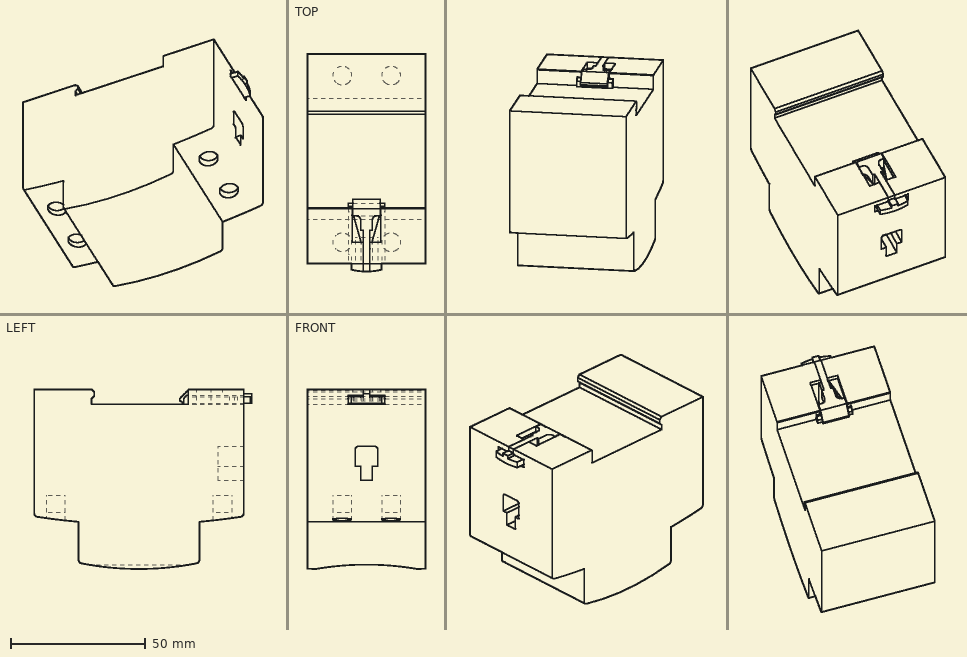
import cadquery as cq
import math

WIDTH = 44.0
HEIGHT = 66.8
BODY_LENGTH = 78.0
TOTAL_LENGTH = 81.0
BACK_Y = BODY_LENGTH / 2
FRONT_Y = -BODY_LENGTH / 2

NOSE_LENGTH = 45.0
NOSE_CROWN_RADIUS = 110.0
SHOULDER_CROWN_RADIUS = 250.0
SHOULDER_CROWN_LOW_Z = 16.5
EDGE_RADIUS = 1.45
NOSE_HOLLOW_DEPTH = 1.6
NOSE_HOLLOW_RADIUS = 110.0

RAIL_DEPTH = 5.5
RAIL_BACK_Y = 17.6
RAIL_FRONT_Y = -18.3
RAIL_FRONT_CHAMFER = 0.25
BEAD_REACH = 1.0
BEAD_HEIGHT = 3.5
RAIL_FLOOR_Z = HEIGHT - RAIL_DEPTH

OPENING_DEPTH = 9.7
OPENING_WIDTH = 8.3
OPENING_STEM_WIDTH = 4.4
OPENING_TOP_Z = 45.6
OPENING_SHOULDER_Z = 38.15
OPENING_BOTTOM_Z = 33.0
OPENING_CORNER_RADIUS = 1.0

SCREW_DIAMETER = 7.0
SCREW_SPACING_X = 18.15
SCREW_SPACING_Y = 62.0
SCREW_LENGTH = 6.5
SCREW_HEAD_Z = 21.1

LATCH_CLEARANCE = 0.25
SLOT_ROOF_DEPTH = 2.3
PLATE_TOP_DEPTH = 2.8
LATCH_BOTTOM_DEPTH = 5.2
GRIP_STEM_DEPTH = 1.6
SLOT_WIDTH = 13.7
EAR_WIDTH = 13.5
EAR_Y = -16.6
EAR_CHAMFER = 1.1
EAR_RADIUS = 2.3
HEAD_WIDTH = 10.1
HEAD_FRONT_Y = -21.2
HOOK_TIP_Y = -15.15
HOOK_TIP_DEPTH = 3.4
HOOK_LAND = 0.8
NECK_WIDTH = 4.3
NECK_RADIUS = 1.8
NECK_FRONT_Y = -26.65
STEM_WIDTH = 2.6
POCKET_FRONT_Y = -31.0
WINDOW_REAR_WIDTH = 9.6
WINDOW_FRONT_Y = -33.6
GRIP_WIDTH = 11.25
GRIP_ROOT_Y = -36.5
GRIP_SIDE_Y = -41.3
TIP_Y = BACK_Y - TOTAL_LENGTH


def crown_z(y, radius, low_z):
    """Height at y of an arc that is lowest, at low_z, on Y = 0."""
    return low_z + radius - math.sqrt(radius**2 - y**2)


def nose_z(y):
    return crown_z(y, NOSE_CROWN_RADIUS, 0)


def shoulder_z(y):
    return crown_z(y, SHOULDER_CROWN_RADIUS, SHOULDER_CROWN_LOW_Z)


def box_between(x_size, y_min, y_max, z_min, z_max):
    """Box centred on X = 0 between the given Y and Z limits."""
    box = cq.Workplane("XY").box(x_size, y_max - y_min, z_max - z_min, centered=(True, False, False))
    return box.translate((0, y_min, z_min))


def side_profile_block():
    """Housing outline with shoulders, crowned nose, rail channel and bead, run across the width."""
    nose_y = NOSE_LENGTH / 2
    shoulder_mid_y = (BACK_Y + nose_y) / 2
    bead_y = RAIL_BACK_Y - BEAD_REACH
    block = (
        cq.Workplane("YZ")
        .moveTo(FRONT_Y, HEIGHT)
        .lineTo(FRONT_Y, shoulder_z(FRONT_Y))
        .threePointArc((-shoulder_mid_y, shoulder_z(shoulder_mid_y)), (-nose_y, shoulder_z(nose_y)))
        .lineTo(-nose_y, nose_z(nose_y))
        .threePointArc((0, 0), (nose_y, nose_z(nose_y)))
        .lineTo(nose_y, shoulder_z(nose_y))
        .threePointArc((shoulder_mid_y, shoulder_z(shoulder_mid_y)), (BACK_Y, shoulder_z(BACK_Y)))
        .lineTo(BACK_Y, HEIGHT)
        .lineTo(RAIL_BACK_Y, HEIGHT)
        .lineTo(bead_y, HEIGHT - BEAD_REACH)
        .lineTo(bead_y, HEIGHT - BEAD_HEIGHT + BEAD_REACH)
        .lineTo(RAIL_BACK_Y, HEIGHT - BEAD_HEIGHT)
        .lineTo(RAIL_BACK_Y, RAIL_FLOOR_Z)
        .lineTo(RAIL_FRONT_Y, RAIL_FLOOR_Z)
        .lineTo(RAIL_FRONT_Y, HEIGHT - RAIL_FRONT_CHAMFER)
        .lineTo(RAIL_FRONT_Y - RAIL_FRONT_CHAMFER, HEIGHT)
        .close()
        .extrude(WIDTH / 2, both=True)
    )
    for y, z in ((BACK_Y, shoulder_z(BACK_Y)), (nose_y, nose_z(nose_y))):
        for corner_y in (-y, y):
            block = block.edges(cq.selectors.NearestToPointSelector((0, corner_y, z))).fillet(EDGE_RADIUS)
    return block


def nose_hollow():
    """Shallow cylinder along Y that hollows the underside of the nose."""
    return (
        cq.Workplane("XZ", origin=(0, 0, NOSE_HOLLOW_DEPTH - NOSE_HOLLOW_RADIUS))
        .circle(NOSE_HOLLOW_RADIUS)
        .extrude(NOSE_LENGTH, both=True)
    )


def wire_opening():
    inner_y = FRONT_Y + OPENING_DEPTH
    upper = box_between(OPENING_WIDTH, FRONT_Y, inner_y, OPENING_SHOULDER_Z, OPENING_TOP_Z)
    upper = upper.edges("|Y and >Z").fillet(OPENING_CORNER_RADIUS)
    stem = box_between(OPENING_STEM_WIDTH, FRONT_Y, inner_y, OPENING_BOTTOM_Z, OPENING_SHOULDER_Z)
    return upper.union(stem)


def latch_cavity():
    """Wide slot under the top, open pocket above its rear part, and a slit for the stem."""
    roof_z = HEIGHT - SLOT_ROOF_DEPTH
    slot = box_between(SLOT_WIDTH, FRONT_Y, RAIL_FRONT_Y, RAIL_FLOOR_Z, roof_z)
    pocket_width = HEAD_WIDTH + 2 * LATCH_CLEARANCE
    pocket = box_between(pocket_width, POCKET_FRONT_Y, RAIL_FRONT_Y, roof_z, HEIGHT)
    slit = box_between(STEM_WIDTH, FRONT_Y, POCKET_FRONT_Y, roof_z, HEIGHT)
    return slot.union(pocket).union(slit)


def screw_cylinder(z_min, z_max):
    return cq.Workplane("XY").workplane(offset=z_min).circle(SCREW_DIAMETER / 2).extrude(z_max - z_min)


def screw_places():
    return [
        (x, y, 0)
        for x in (-SCREW_SPACING_X / 2, SCREW_SPACING_X / 2)
        for y in (-SCREW_SPACING_Y / 2, SCREW_SPACING_Y / 2)
    ]


def make_housing():
    housing = side_profile_block().cut(nose_hollow()).cut(wire_opening()).cut(latch_cavity())
    screw_hole = screw_cylinder(SHOULDER_CROWN_LOW_Z, SCREW_HEAD_Z + SCREW_LENGTH)
    for place in screw_places():
        housing = housing.cut(screw_hole.translate(place))
    return housing


def latch_plate():
    """Flat plate from the ears to the curved grip, with a window on each side of the stem."""
    bottom_z = HEIGHT - LATCH_BOTTOM_DEPTH
    height = LATCH_BOTTOM_DEPTH - PLATE_TOP_DEPTH
    ear_x = EAR_WIDTH / 2
    grip_x = GRIP_WIDTH / 2
    taper_y = GRIP_ROOT_Y + ear_x - grip_x
    plate = (
        cq.Workplane("XY", origin=(0, 0, bottom_z))
        .moveTo(-ear_x, RAIL_FRONT_Y)
        .lineTo(-ear_x, taper_y)
        .lineTo(-grip_x, GRIP_ROOT_Y)
        .lineTo(-grip_x, GRIP_SIDE_Y)
        .threePointArc((0, TIP_Y), (grip_x, GRIP_SIDE_Y))
        .lineTo(grip_x, GRIP_ROOT_Y)
        .lineTo(ear_x, taper_y)
        .lineTo(ear_x, RAIL_FRONT_Y)
        .close()
        .extrude(height)
    )
    for side in (-1, 1):
        window = (
            cq.Workplane("XY", origin=(0, 0, bottom_z))
            .polyline([
                (0, HEAD_FRONT_Y),
                (side * WINDOW_REAR_WIDTH / 2, HEAD_FRONT_Y),
                (side * STEM_WIDTH / 2, WINDOW_FRONT_Y),
                (0, WINDOW_FRONT_Y),
            ])
            .close()
            .extrude(height)
        )
        plate = plate.cut(window)
    return plate


def latch_hook():
    """Head with the wedge that reaches over the rail channel."""
    bottom_z = HEIGHT - LATCH_BOTTOM_DEPTH
    tip_top_z = HEIGHT - HOOK_TIP_DEPTH
    return (
        cq.Workplane("YZ")
        .polyline([
            (HEAD_FRONT_Y, bottom_z),
            (HEAD_FRONT_Y, HEIGHT),
            (RAIL_FRONT_Y - RAIL_FRONT_CHAMFER, HEIGHT),
            (HOOK_TIP_Y, tip_top_z),
            (HOOK_TIP_Y, tip_top_z - HOOK_LAND),
            (EAR_Y, bottom_z),
        ])
        .close()
        .extrude(HEAD_WIDTH / 2, both=True)
    )


def latch_ears():
    """Wide cross bar on the slot floor, chamfered towards the rail and rounded towards the grip."""
    bar = box_between(EAR_WIDTH, HEAD_FRONT_Y, EAR_Y, RAIL_FLOOR_Z, HEIGHT - SLOT_ROOF_DEPTH)
    bar = bar.edges(">Y and >Z").chamfer(EAR_CHAMFER)
    return bar.edges("|Z and <Y").fillet(EAR_RADIUS)


def latch_stem():
    """Central bar from the head to the grip, thicker at its neck."""
    bottom_z = HEIGHT - LATCH_BOTTOM_DEPTH
    neck = box_between(NECK_WIDTH, NECK_FRONT_Y, HEAD_FRONT_Y, bottom_z, HEIGHT)
    stem = box_between(STEM_WIDTH, FRONT_Y, NECK_FRONT_Y, bottom_z, HEIGHT)
    return neck.union(stem)


def neck_fillets():
    """Concave corners where the neck runs into the head."""
    corner_y = HEAD_FRONT_Y - NECK_RADIUS
    bottom_z = HEIGHT - LATCH_BOTTOM_DEPTH
    block = box_between(NECK_WIDTH + 2 * NECK_RADIUS, corner_y, HEAD_FRONT_Y, bottom_z, HEIGHT)
    rounds = (
        cq.Workplane("XY", origin=(0, 0, bottom_z))
        .pushPoints([(side * (NECK_WIDTH / 2 + NECK_RADIUS), corner_y) for side in (-1, 1)])
        .circle(NECK_RADIUS)
        .extrude(LATCH_BOTTOM_DEPTH)
    )
    return block.cut(rounds)


def grip_stem():
    """Raised middle of the grip, ending on the same curve as the grip."""
    top_z = HEIGHT - GRIP_STEM_DEPTH
    bottom_z = HEIGHT - LATCH_BOTTOM_DEPTH
    outline = (
        cq.Workplane("XY", origin=(0, 0, bottom_z))
        .moveTo(-GRIP_WIDTH / 2, FRONT_Y)
        .lineTo(-GRIP_WIDTH / 2, GRIP_SIDE_Y)
        .threePointArc((0, TIP_Y), (GRIP_WIDTH / 2, GRIP_SIDE_Y))
        .lineTo(GRIP_WIDTH / 2, FRONT_Y)
        .close()
        .extrude(top_z - bottom_z)
    )
    return outline.intersect(box_between(STEM_WIDTH, TIP_Y, FRONT_Y, bottom_z, top_z))


def make_latch():
    latch = latch_plate().union(latch_ears()).union(latch_hook())
    return latch.union(latch_stem()).union(neck_fillets()).union(grip_stem())


def make_screw():
    return screw_cylinder(SCREW_HEAD_Z, SCREW_HEAD_Z + SCREW_LENGTH)


housing = make_housing()
latch = make_latch()
screws = [make_screw().translate(place) for place in screw_places()]

result = cq.Compound.makeCompound([
    housing.val(),
    latch.val(),
    *[screw.val() for screw in screws],
])